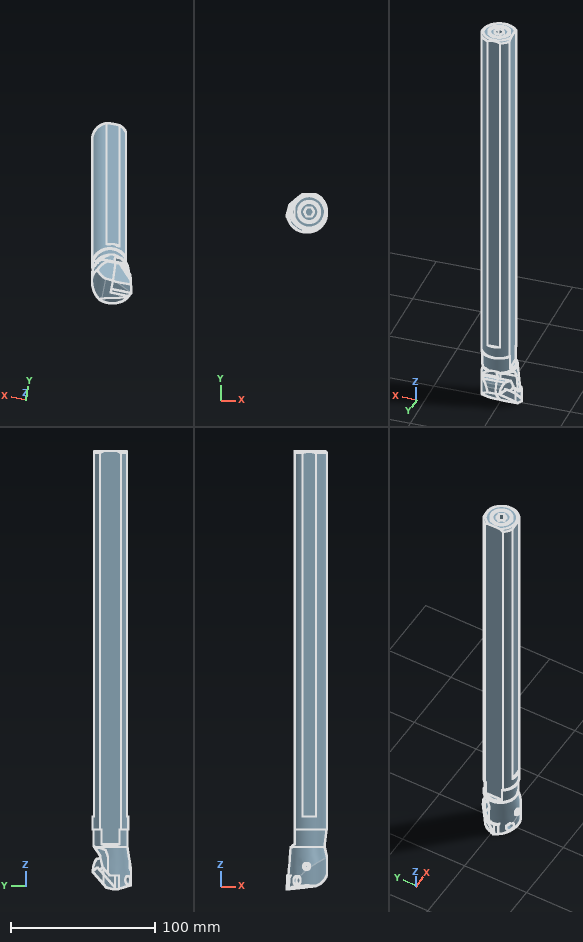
import cadquery as cq
import math

length = 304.5
reach = 30.5

shank_radius = 12.5
end_chamfer = 1.5
side_flat = 11.5
side_flat_end = 50.8
back_flat = 10.0
back_flat_end = 31.7
back_ledge = 3.0

neck_top = 41.7
neck_radius = 12.0
neck_relief_low = 10.7
neck_relief_high = 12.2

head_top = 29.5
cone_top_x = -1.2
cone_top_radius = 12.0
cone_lean = 0.08
cone_flare = 0.16
nose_radius = 14.0
nose_x = -1.5
nose_y = -0.3
cone_excess = 3.0
end_start = (-reach, -0.5)
end_corner_start = (3.7, 2.0)
end_corner_middle = (9.0, 5.2)
end_corner_stop = (shank_radius, 10.5)
relief_start_y = -4.5
relief_stop_y = -15.2
relief_height = 3.5

plug_radius = 7.5
plug_depth = 15.2
plug_chamfer = 1.2
plug_socket_flats = 6.0
plug_socket_depth = 6.0

seat_angle = 49.0
face_offset = 1.2
insert_thickness = 4.5
shim_thickness = 2.7
heel_y = -5.8
heel_top = 9.7
cutting_tip = (-3.0, 0.0)
rake_start = 2.7
insert_heel_start = -1.0
shim_back_start = 7.5
insert_far_end = 17.7
shim_far_end = 15.2
insert_inner_x = -1.5
insert_outer_x = -15.8
heel_taper = 1.2
edge_bend_y = 5.0
edge_bend_inset = 2.0
edge_far_x = -4.5
end_edge_rise = 1.5
edge_set_back = 0.3
insert_back = face_offset - insert_thickness
shim_back = insert_back - shim_thickness

wall_y = 1.8
wall_bend = (3.5, 27.5)
wall_top = 29.0
clamp_wall_y = 7.0
clamp_top = 22.0
throat_height = 23.0
throat_mouth = (13.7, 33.5)
pocket_floor = -3.0
front_along = -6.0
front_floor = -6.0

screw_x = -1.8
screw_z = 16.0
screw_radius = 2.5
screw_length = 6.7
screw_socket_flats = 2.0
screw_socket_depth = 2.5
screw_end_y = -13.5
coolant_x = -8.5
coolant_mouth_y = -12.2
coolant_z = 6.5
coolant_radius = 3.0
coolant_depth = 4.5
coolant_turn = 30.0


def on_seat(along, normal):
    """(Y, Z) of a point given along the seat plane and along its normal."""
    cosine = math.cos(math.radians(seat_angle))
    sine = math.sin(math.radians(seat_angle))
    return (along * cosine + normal * sine, along * sine - normal * cosine)


def prism_x(points, x_start, x_end):
    """A (Y, Z) outline extruded between two X positions."""
    return cq.Workplane("YZ").workplane(offset=x_start).polyline(points).close().extrude(x_end - x_start)


def prism_y(points):
    """An (X, Z) outline extruded through the whole part along Y."""
    return cq.Workplane("XZ").polyline(points).close().extrude(reach, both=True)


def rod_y(x, z, radius, y_start, y_end):
    """A cylinder along Y."""
    return cq.Workplane("XZ", origin=(x, y_start, z)).circle(radius).extrude(y_start - y_end)


def hex_socket(plane, flats, depth):
    """A hexagonal socket cutter, sunk below the given workplane."""
    return plane.polygon(6, flats / math.cos(math.radians(30))).extrude(-depth)


rake_top = on_seat(insert_far_end, face_offset)
insert_heel = on_seat(insert_heel_start, insert_back)
insert_outline = [
    rake_top,
    on_seat(rake_start, face_offset),
    cutting_tip,
    insert_heel,
    on_seat(insert_far_end, insert_back),
]
shim_outline = [
    insert_heel,
    cutting_tip,
    (heel_y, 0.0),
    (heel_y, heel_top),
    on_seat(shim_back_start, shim_back),
    on_seat(shim_far_end, shim_back),
    on_seat(shim_far_end, insert_back),
]
clamp_face = [(12.0, 16.5), (11.0, 19.2), (9.7, 21.3)]
clamp_outline = [
    rake_top,
    *clamp_face,
    (clamp_wall_y, clamp_top),
    on_seat(shim_far_end, shim_back),
    on_seat(shim_far_end, insert_back),
    on_seat(insert_far_end, insert_back),
]


def outer_limit(set_back):
    """The space between the cutting edges and the inner wall of the pocket."""
    x = insert_outer_x + set_back
    plan = (
        cq.Workplane("XY")
        .polyline([
            (x + heel_taper, heel_y),
            (x, cutting_tip[0]),
            (x + edge_bend_inset, edge_bend_y),
            (edge_far_x + set_back, shank_radius),
            (insert_inner_x, shank_radius),
            (insert_inner_x, heel_y),
        ])
        .close()
        .extrude(reach)
    )
    end_edge = prism_y([
        (x, set_back / 2),
        (x, reach),
        (insert_inner_x, reach),
        (insert_inner_x, end_edge_rise + set_back / 2),
    ])
    return plan.intersect(end_edge)


def make_shank():
    shank = cq.Workplane("XY").workplane(offset=neck_top).circle(shank_radius).extrude(length - neck_top)
    shank = shank.faces(">Z").chamfer(end_chamfer)
    flat_height = length - side_flat_end
    for side in (-1, 1):
        cutter = cq.Workplane("XY").box(2 * reach, reach, flat_height, centered=(True, True, False))
        shank = shank.cut(cutter.translate((0, side * (side_flat + reach / 2), side_flat_end)))
    return shank


def make_neck():
    neck = cq.Workplane("XY").workplane(offset=head_top).circle(neck_radius).extrude(neck_top - head_top)
    relief = prism_y([
        (neck_relief_high, neck_top),
        (neck_relief_low, head_top),
        (reach, head_top),
        (reach, neck_top),
    ])
    return neck.cut(relief)


def make_head():
    cone = cq.Workplane(cq.Solid.makeCone(
        cone_top_radius - cone_flare * cone_excess,
        cone_top_radius + cone_flare * head_top,
        head_top + cone_excess,
        cq.Vector(cone_top_x - cone_lean * cone_excess, 0, head_top + cone_excess),
        cq.Vector(cone_lean, 0, -1),
    ))
    nose = cq.Workplane("XY").center(nose_x, nose_y).circle(nose_radius).extrude(head_top)
    end_profile = (
        cq.Workplane("XZ")
        .moveTo(*end_start)
        .lineTo(*end_corner_start)
        .threePointArc(end_corner_middle, end_corner_stop)
        .lineTo(shank_radius, head_top)
        .lineTo(-reach, head_top)
        .close()
        .extrude(reach, both=True)
    )
    bevel = prism_x([(relief_start_y, 0), (relief_stop_y, relief_height), (relief_stop_y, 0)], -reach, reach)
    return nose.intersect(cone).intersect(end_profile).cut(bevel)


def make_pocket():
    clamp_front = [(clamp_wall_y, clamp_top)] + clamp_face[::-1]
    front = prism_x(
        [throat_mouth, (clamp_wall_y, throat_height)]
        + clamp_front
        + [rake_top, on_seat(front_along, face_offset), (reach, front_floor), (reach, throat_mouth[1])],
        -reach, reach,
    )
    side = prism_x(
        [
            (clamp_wall_y, wall_top),
            wall_bend,
            (wall_y, throat_height),
            (wall_y, heel_top),
            insert_heel,
            (cutting_tip[0], pocket_floor),
            (reach, pocket_floor),
            (reach, wall_top),
        ],
        -reach, insert_inner_x,
    )
    seat = prism_x(shim_outline, -reach, insert_inner_x)
    return front.union(side).union(seat)


def make_holder():
    holder = make_shank().union(make_neck()).union(make_head())
    back_cut = prism_y([
        (-back_flat, length),
        (-back_flat, back_flat_end),
        (-back_flat - back_ledge, head_top),
        (-reach, head_top),
        (-reach, length),
    ])
    holder = holder.cut(back_cut).cut(make_pocket())
    bore = cq.Workplane("XY").workplane(offset=length).circle(plug_radius).extrude(-plug_depth)
    screw_hole = rod_y(screw_x, screw_z, screw_radius, -reach, screw_end_y + screw_length)
    coolant_hole = rod_y(0, 0, coolant_radius, -coolant_depth, coolant_depth)
    coolant_hole = coolant_hole.rotate((0, 0, 0), (0, 0, 1), -coolant_turn)
    coolant_hole = coolant_hole.translate((coolant_x, coolant_mouth_y, coolant_z))
    return holder.cut(bore).cut(screw_hole).cut(coolant_hole)


def make_plug():
    top = cq.Workplane("XY").workplane(offset=length)
    plug = top.circle(plug_radius).extrude(-plug_depth).faces(">Z").chamfer(plug_chamfer)
    return plug.cut(hex_socket(top, plug_socket_flats, plug_socket_depth))


def make_seated(outline, set_back):
    """A body of the given (Y, Z) outline, trimmed to the cutting edges."""
    return prism_x(outline, -reach, insert_inner_x).intersect(outer_limit(set_back))


def make_screw():
    screw = rod_y(screw_x, screw_z, screw_radius, screw_end_y, screw_end_y + screw_length)
    end_plane = cq.Workplane("XZ", origin=(screw_x, screw_end_y, screw_z))
    return screw.cut(hex_socket(end_plane, screw_socket_flats, screw_socket_depth))


holder = make_holder()
plug = make_plug()
insert = make_seated(insert_outline, 0)
shim = make_seated(shim_outline, edge_set_back)
clamp = make_seated(clamp_outline, edge_set_back)
screw = make_screw()

result = cq.Compound.makeCompound([
    holder.val(), plug.val(), insert.val(), shim.val(), clamp.val(), screw.val(),
])